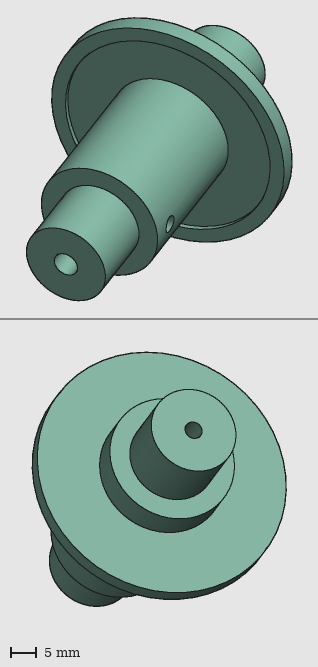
import cadquery as cq
import math

OVERALL_LENGTH = 69.0
BODY_DIAMETER = 25.0
BODY_LENGTH = 40.0
JOURNAL_DIAMETER = 17.0

FLANGE_DIAMETER = 50.0
FLANGE_THICKNESS = 3.5
FLANGE_SETBACK = 7.0
RECESS_DIAMETER = 44.0
RECESS_DEPTH = 1.0

BORE_DIAMETER = 3.4
ENTRY_BORE_DIAMETER = 5.0
ENTRY_BORE_DEPTH = 12.0
ENTRY_TIP_ANGLE = 90.0

CROSS_HOLE_DIAMETER = 3.4
CROSS_HOLE_SETBACK = 5.4

FRONT_END = -OVERALL_LENGTH / 2
FRONT_SHOULDER = -BODY_LENGTH / 2
FLANGE_BACK = BODY_LENGTH / 2 - FLANGE_SETBACK
FLANGE_FRONT = FLANGE_BACK - FLANGE_THICKNESS


def cylinder(diameter, start, length):
    """Solid cylinder on the shaft axis, running toward +Y from y = start."""
    return cq.Workplane(cq.Solid.makeCylinder(
        diameter / 2, length, cq.Vector(0, start, 0), cq.Vector(0, 1, 0)))


def stepped_shaft():
    """Journals, body and flange, with the shallow recess in the flange's -Y face."""
    recess = cylinder(RECESS_DIAMETER, FLANGE_FRONT, RECESS_DEPTH)
    flange = cylinder(FLANGE_DIAMETER, FLANGE_FRONT, FLANGE_THICKNESS).cut(recess)
    body = cylinder(BODY_DIAMETER, FRONT_SHOULDER, BODY_LENGTH)
    journals = cylinder(JOURNAL_DIAMETER, FRONT_END, OVERALL_LENGTH)
    return journals.union(body).union(flange)


def axial_bore():
    """Through bore, widened from the -Y end by a larger hole with a conical bottom."""
    bore = cylinder(BORE_DIAMETER, FRONT_END, OVERALL_LENGTH)
    entry = cylinder(ENTRY_BORE_DIAMETER, FRONT_END, ENTRY_BORE_DEPTH)
    radius_step = (ENTRY_BORE_DIAMETER - BORE_DIAMETER) / 2
    tip_length = radius_step / math.tan(math.radians(ENTRY_TIP_ANGLE / 2))
    tip = cq.Workplane(cq.Solid.makeCone(
        ENTRY_BORE_DIAMETER / 2, BORE_DIAMETER / 2, tip_length,
        cq.Vector(0, FRONT_END + ENTRY_BORE_DEPTH, 0), cq.Vector(0, 1, 0)))
    return bore.union(entry).union(tip)


def cross_hole():
    """Radial hole from the +X side of the body to the axial bore."""
    return cq.Workplane(cq.Solid.makeCylinder(
        CROSS_HOLE_DIAMETER / 2, BODY_DIAMETER / 2,
        cq.Vector(0, FRONT_SHOULDER + CROSS_HOLE_SETBACK, 0), cq.Vector(1, 0, 0)))


result = stepped_shaft().cut(axial_bore()).cut(cross_hole())